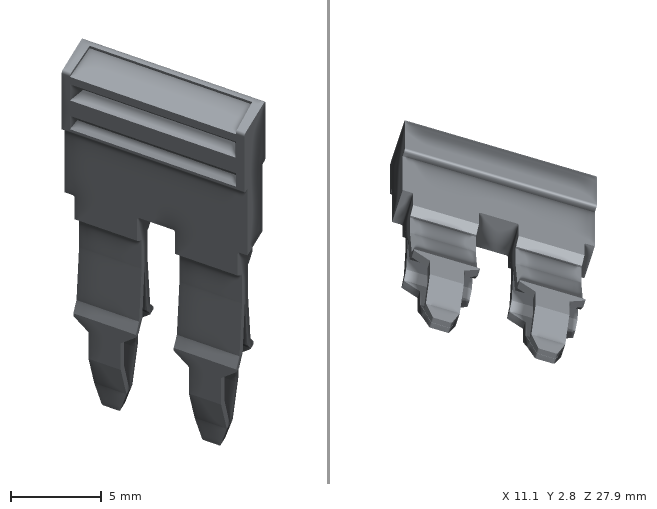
import cadquery as cq

total_height = 27.95

housing_width = 11.1
head_depth = 2.8
head_bottom = 23.03
body_depth = 1.95
shoulder_z = 17.47
housing_bottom = 15.05
leg_chamfer = 0.48
edge_radius = 0.2
leg_root_radius = 0.15

contact_pitch = 6.1
contact_width = 3.8
contact_sides = (-1, 1)

recess_depth = 0.2
recess_front_width = 10.05
recess_rear_width = 9.87
recess_rear_y = 0.98

pocket_width = 10.05
upper_pocket_bottom = 25.8
upper_pocket_top = 27.15
upper_pocket_depth = 0.85
upper_pocket_side_slope = 0.42
upper_pocket_floor_rise = 0.22
upper_pocket_roof_drop = 0.53
lower_pocket_bottom = 23.4
lower_pocket_top = 24.5
lower_pocket_depth = 0.53
lower_pocket_side_slope = 0.2
lower_pocket_floor_rise = 0.3

neck_half = 0.4
fork_z = 12.58
shoulder_half = 0.73
shoulder_top_z = 8.52
belly_half = 1.15
belly_top_z = 7.85
belly_bottom_z = 4.5
tip_top_z = 1.7
tip_half = 0.3
leaf_thickness = 0.42
bend_offset = 0.15
tip_gap = 0.015

blade_width = 1.95
blade_top_z = 6.7
tip_width = 1.1
tip_radius = 0.1


def tapered_pocket(bottom, top, depth, side_slope, floor_rise, roof_drop=0):
    """Pocket sunk into the front of the head, narrowing towards its back wall."""
    back_height = top - bottom - floor_rise - roof_drop
    back_shift = (floor_rise - roof_drop) / 2
    return (
        cq.Workplane("XZ", origin=(0, -head_depth / 2, (bottom + top) / 2))
        .rect(pocket_width, top - bottom)
        .workplane(offset=-depth)
        .center(0, back_shift)
        .rect(pocket_width - 2 * side_slope, back_height)
        .loft(ruled=True)
    )


def top_recess():
    """Shallow recess in the top face, open to the front."""
    front_y = -head_depth / 2
    return (
        cq.Workplane("XY", origin=(0, 0, total_height - recess_depth))
        .polyline([
            (-recess_front_width / 2, front_y),
            (recess_front_width / 2, front_y),
            (recess_rear_width / 2, recess_rear_y),
            (-recess_rear_width / 2, recess_rear_y),
        ])
        .close()
        .extrude(recess_depth)
    )


def make_head():
    """Thick upper block with rounded long edges, pockets and top recess."""
    head_height = total_height - head_bottom
    head = (
        cq.Workplane("XY", origin=(0, 0, head_bottom))
        .box(housing_width, head_depth, head_height, centered=(True, True, False))
        .edges("|X")
        .fillet(edge_radius)
    )
    upper_pocket = tapered_pocket(
        upper_pocket_bottom,
        upper_pocket_top,
        upper_pocket_depth,
        upper_pocket_side_slope,
        upper_pocket_floor_rise,
        upper_pocket_roof_drop,
    )
    lower_pocket = tapered_pocket(
        lower_pocket_bottom,
        lower_pocket_top,
        lower_pocket_depth,
        lower_pocket_side_slope,
        lower_pocket_floor_rise,
    )
    return head.cut(upper_pocket).cut(lower_pocket).cut(top_recess())


def make_leg(side):
    """Housing leg above one contact, chamfered front and rear at its lower end."""
    return (
        cq.Workplane("XY", origin=(side * contact_pitch / 2, 0, housing_bottom))
        .box(contact_width, body_depth, shoulder_z - housing_bottom, centered=(True, True, False))
        .edges("|X and <Z")
        .chamfer(leg_chamfer)
    )


def make_housing():
    """Head, thinner body and two legs, with rounded corners where body and legs meet."""
    body = cq.Workplane("XY", origin=(0, 0, shoulder_z)).box(
        housing_width, body_depth, head_bottom - shoulder_z, centered=(True, True, False)
    )
    for side in contact_sides:
        body = body.union(make_leg(side))
    leg_roots = cq.selectors.BoxSelector(
        (-housing_width / 2 + leg_root_radius, -body_depth, shoulder_z - leg_root_radius / 2),
        (housing_width / 2 - leg_root_radius, body_depth, shoulder_z + leg_root_radius / 2),
    )
    body = body.edges("|Y").edges(leg_roots).fillet(leg_root_radius)
    return body.union(make_head())


def mirrored_profile(right_half):
    """Prism across one contact whose section is the given (Y, Z) points and their mirror image."""
    left_half = [(-y, z) for y, z in reversed(right_half) if y > 0]
    return (
        cq.Workplane("YZ")
        .polyline(right_half + left_half)
        .close()
        .extrude(contact_width / 2, both=True)
    )


def make_contact(side):
    """Forked spring contact: two bowed leaves that close to a narrow gap at the tip."""
    outer_half = [
        (neck_half, housing_bottom),
        (neck_half, fork_z),
        (shoulder_half, shoulder_top_z),
        (belly_half, belly_top_z),
        (belly_half, belly_bottom_z),
        (neck_half, tip_top_z),
        (tip_half, 0),
    ]
    inner_half = [
        (0, fork_z),
        (shoulder_half - leaf_thickness, shoulder_top_z - bend_offset),
        (belly_half - leaf_thickness, belly_top_z - bend_offset),
        (belly_half - leaf_thickness, belly_bottom_z),
        (tip_gap / 2, tip_top_z),
        (tip_gap / 2, 0),
    ]
    taper_top_z = blade_top_z + (contact_width - blade_width) / 2
    outline = (
        cq.Workplane("XZ")
        .polyline([
            (-contact_width / 2, housing_bottom),
            (contact_width / 2, housing_bottom),
            (contact_width / 2, taper_top_z),
            (blade_width / 2, blade_top_z),
            (blade_width / 2, tip_top_z),
            (tip_width / 2, 0),
            (-tip_width / 2, 0),
            (-blade_width / 2, tip_top_z),
            (-blade_width / 2, blade_top_z),
            (-contact_width / 2, taper_top_z),
        ])
        .close()
        .extrude(belly_half, both=True)
        .edges("|Y and <Z")
        .fillet(tip_radius)
    )
    contact = outline.intersect(mirrored_profile(outer_half)).cut(mirrored_profile(inner_half))
    return contact.translate((side * contact_pitch / 2, 0, 0))


housing = make_housing()
contacts = [make_contact(side) for side in contact_sides]

result = cq.Compound.makeCompound([housing.val(), *[contact.val() for contact in contacts]])